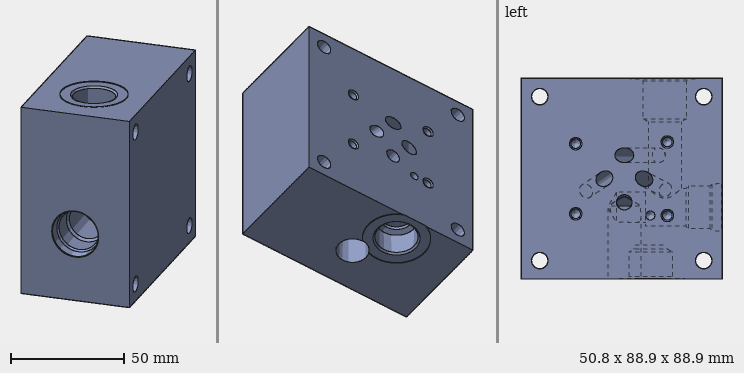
import cadquery as cq
import math

width = 50.8
length = 88.9
height = 88.9
centre_x = width / 2

drill_point_half_angle = math.radians(118 / 2)

mount_dia = 7.14
mount_inset = 8.2

first_screw_y = 64.8
first_screw_z = 28.9
screw_places = [(0, 0), (40.5, -0.75), (40.5, 31.75), (0, 31)]
screw_dia = 4.2
screw_mouth_dia = 5.5
screw_depth = 14.0
pin_place = (33, -0.75)
pin_dia = 4.0
pin_depth = 4.0

slanted_dia = 6.5
tank_place = (21.5, 25.9)
tank_direction = (1, -0.8, 0)
tank_drill_depth = 25.0
work_a_place = (12.7, 15.5)
work_a_direction = (1, 0.54, -0.36)
work_b_place = (30.2, 15.5)
work_b_direction = (1, -0.65, -0.34)
work_drill_depth = 18.0
pressure_place = (21.5, 5.1)
pressure_dia = 6.75
slanted_lead_in = 10.0

port_spot_dia = 30.2
port_spot_depth = 0.35
port_mouth_dia = 20.8
port_thread_dia = 19.1
port_thread_depth = 18.0
port_step_length = 1.35
port_drill_dia = 14.6

cavity_z = 31.75
cavity_mouth_dia = 22.0
cavity_mouth_chamfer = 0.3
cavity_relief_dia = 20.4
cavity_relief_depth = 4.6
cavity_thread_dia = 18.8
cavity_thread_depth = 15.0
cavity_seat_dia = 16.6
cavity_seat_depth = 34.0
cavity_nose_dia = 13.5
cavity_nose_depth = 46.7

tank_port_y = 25.4

edge_port_x = 13.8
edge_port_y = 31.65
edge_port_depth = 15.0
edge_port_thread_depth = 12.0

pressure_bore_offset = 5.6
pressure_bore_rise = 0.7
pressure_bore_x = centre_x + pressure_bore_offset
pressure_bore_y = first_screw_y - pressure_place[0]
pressure_bore_depth = cavity_z + pressure_bore_rise


def turned(start, direction, profile):
    """Solid of revolution; profile lists (radius, depth) from the mouth inward, depth along direction."""
    outline = [(0, 0)] + profile
    if profile[-1][0] > 0:
        outline.append((0, profile[-1][1]))
    body = cq.Workplane("XZ").polyline(outline).close().revolve(360, (0, 0, 0), (0, 1, 0))
    frame = cq.Plane(origin=start, normal=direction)
    return body.val().moved(frame.location)


def drill_tip(dia):
    """Length of the conical end of a drilled hole."""
    return dia / 2 / math.tan(drill_point_half_angle)


def drilled(start, direction, dia, depth):
    """Drilled hole of the given full-diameter depth, with a conical end."""
    radius = dia / 2
    return turned(start, direction, [(radius, 0), (radius, depth), (0, depth + drill_tip(dia))])


def on_valve_face(place):
    """Point on the X = 0 face for a place of the valve interface."""
    return (0, first_screw_y - place[0], first_screw_z + place[1])


def slanted(place, direction, depth):
    """Slanted drilling, begun outside the block so that its whole mouth is cut."""
    unit = cq.Vector(*direction).normalized()
    start = cq.Vector(*on_valve_face(place)) - unit * slanted_lead_in
    return drilled(start.toTuple(), unit.toTuple(), slanted_dia, depth + slanted_lead_in)


def mount_holes():
    spacing_y = length - 2 * mount_inset
    spacing_z = height - 2 * mount_inset
    return (
        cq.Workplane("YZ")
        .center(length / 2, height / 2)
        .rarray(spacing_y, spacing_z, 2, 2)
        .circle(mount_dia / 2)
        .extrude(width)
    )


def screw_hole(place):
    radius = screw_dia / 2
    mouth_radius = screw_mouth_dia / 2
    profile = [
        (mouth_radius, 0),
        (radius, mouth_radius - radius),
        (radius, screw_depth),
        (0, screw_depth + drill_tip(screw_dia)),
    ]
    return turned(on_valve_face(place), (1, 0, 0), profile)


def threaded_port(start, direction, thread_depth, depth):
    mouth_radius = port_mouth_dia / 2
    thread_radius = port_thread_dia / 2
    drill_radius = port_drill_dia / 2
    chamfer = mouth_radius - thread_radius
    profile = [
        (port_spot_dia / 2, 0),
        (port_spot_dia / 2, port_spot_depth),
        (mouth_radius, port_spot_depth),
        (thread_radius, port_spot_depth + chamfer),
        (thread_radius, thread_depth),
        (drill_radius, thread_depth + port_step_length),
        (drill_radius, depth),
    ]
    return turned(start, direction, profile)


def cartridge_cavity():
    mouth = cavity_mouth_dia / 2
    relief = cavity_relief_dia / 2
    thread = cavity_thread_dia / 2
    seat = cavity_seat_dia / 2
    nose = cavity_nose_dia / 2
    profile = [
        (mouth, 0),
        (mouth - cavity_mouth_chamfer, cavity_mouth_chamfer),
        (relief, cavity_relief_depth),
        (thread, cavity_relief_depth + relief - thread),
        (thread, cavity_thread_depth),
        (seat, cavity_thread_depth + thread - seat),
        (seat, cavity_seat_depth),
        (nose, cavity_seat_depth),
        (nose, cavity_nose_depth),
        (0, cavity_nose_depth + drill_tip(cavity_nose_dia)),
    ]
    return turned((centre_x, 0, cavity_z), (0, 1, 0), profile)


result = cq.Workplane("XY").box(width, length, height, centered=False)
result = result.cut(mount_holes())

for screw_place in screw_places:
    result = result.cut(screw_hole(screw_place))
result = result.cut(drilled(on_valve_face(pin_place), (1, 0, 0), pin_dia, pin_depth))
result = result.cut(slanted(tank_place, tank_direction, tank_drill_depth))
result = result.cut(slanted(work_a_place, work_a_direction, work_drill_depth))
result = result.cut(slanted(work_b_place, work_b_direction, work_drill_depth))
result = result.cut(drilled(on_valve_face(pressure_place), (1, 0, 0), pressure_dia, centre_x))

result = result.cut(cartridge_cavity())
tank_port_start = (centre_x, tank_port_y, height)
result = result.cut(threaded_port(tank_port_start, (0, 0, -1), port_thread_depth, height - cavity_z))
edge_port_start = (edge_port_x, edge_port_y, 0)
result = result.cut(threaded_port(edge_port_start, (0, 0, 1), edge_port_thread_depth, edge_port_depth))
pressure_bore_start = (pressure_bore_x, pressure_bore_y, 0)
result = result.cut(drilled(pressure_bore_start, (0, 0, 1), port_drill_dia, pressure_bore_depth))